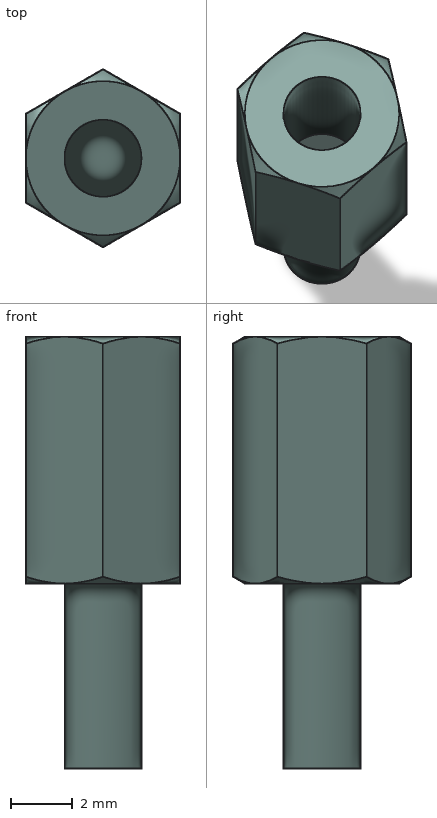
import cadquery as cq
import math

side_count = 6
half_side_angle = 180 / side_count
across_flats = 5.0
across_corners = across_flats / math.cos(math.radians(half_side_angle))
hex_height = 8.0
stud_diameter = 2.5
stud_length = 6.0
bore_diameter = stud_diameter
bore_depth = 6.0

chamfer_angle = 30.0
chamfer_width = (across_corners - across_flats) / 2
chamfer_height = chamfer_width * math.tan(math.radians(chamfer_angle))


def make_turned_envelope():
    """Cylinder around the corners, chamfered at both ends down to the inscribed circle."""
    flat_radius = across_flats / 2
    corner_radius = across_corners / 2
    profile = (
        cq.Workplane("XZ")
        .moveTo(0, 0)
        .lineTo(flat_radius, 0)
        .lineTo(corner_radius, chamfer_height)
        .lineTo(corner_radius, hex_height - chamfer_height)
        .lineTo(flat_radius, hex_height)
        .lineTo(0, hex_height)
        .close()
    )
    return profile.revolve(360, (0, 0, 0), (0, 1, 0))


def make_spacer():
    """Hexagonal body with turned corners and a blind bore in its top face."""
    prism = (
        cq.Workplane("XY")
        .polygon(side_count, across_corners)
        .extrude(hex_height)
        .rotate((0, 0, 0), (0, 0, 1), half_side_angle)
    )
    bore = (
        cq.Workplane("XY")
        .workplane(offset=hex_height - bore_depth)
        .circle(bore_diameter / 2)
        .extrude(bore_depth)
    )
    return prism.intersect(make_turned_envelope()).cut(bore).solids()


def make_stud():
    """Plain round stud that meets the bottom face of the spacer."""
    return cq.Workplane("XY").circle(stud_diameter / 2).extrude(-stud_length)


spacer = make_spacer()
stud = make_stud()

result = cq.Compound.makeCompound([spacer.val(), stud.val()])